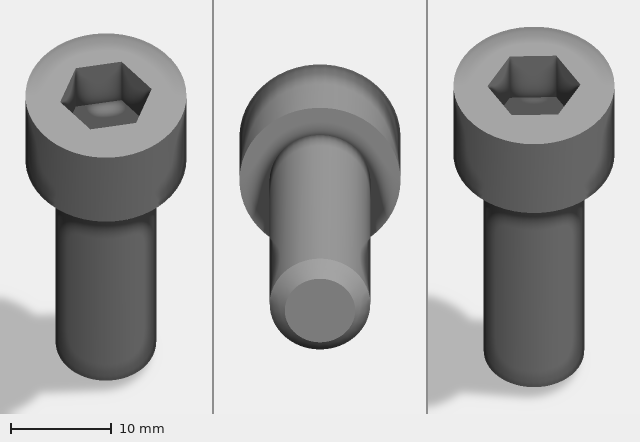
import cadquery as cq

total_length = 40.0
head_diameter = 16.0
head_height = 10.0
shank_diameter = 10.0
shank_length = total_length - head_height
tip_diameter = 7.0
tip_chamfer = (shank_diameter - tip_diameter) / 2
socket_across_flats = 8.0
socket_depth = 6.0
socket_turn = 30.0


def make_shank():
    """Plain shank with a 45 degree chamfer at the tip."""
    shank = cq.Workplane("XY").circle(shank_diameter / 2).extrude(shank_length)
    return shank.faces("<Z").chamfer(tip_chamfer)


def make_head():
    """Cylindrical head resting on the shank."""
    head = cq.Workplane("XY").workplane(offset=shank_length)
    return head.circle(head_diameter / 2).extrude(head_height)


def make_socket():
    """Hexagonal key socket with two corners on the X axis."""
    socket = cq.Workplane("XY").workplane(offset=total_length - socket_depth)
    socket = socket.transformed(rotate=(0, 0, socket_turn))
    return socket.polygon(6, socket_across_flats, circumscribed=True).extrude(socket_depth)


result = make_shank().union(make_head()).cut(make_socket())